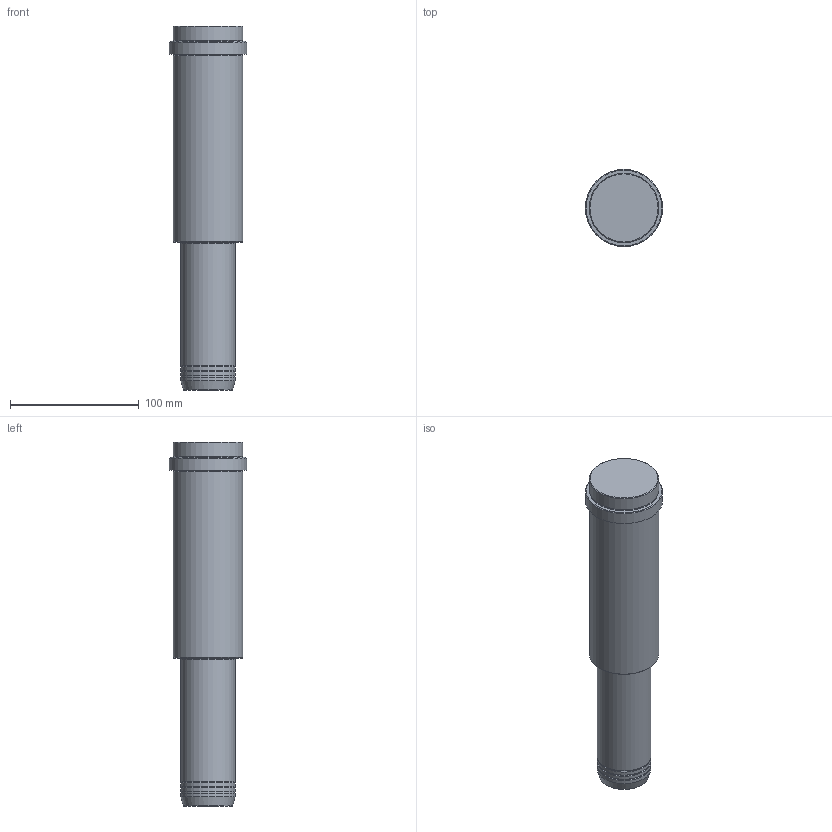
import cadquery as cq
import math

total_height = 283.0
step_height = 115.0
collar_height = 10.0
collar_to_top = 12.0

collar_diameter = 60.0
body_diameter = 54.0
shank_diameter = 42.0

edge_bevel = 0.5
tip_bevel = 0.3

lead_in_height = 7.0
lead_in_angle = 15.0

groove_radius = 0.5
shank_groove_count = 3
first_groove_height = 10.5
groove_pitch = 4.0

collar_top = total_height - collar_to_top
collar_bottom = collar_top - collar_height


def cylinder(diameter, bottom, top):
    """Solid cylinder on the Z axis between two heights."""
    return cq.Workplane("XY").workplane(offset=bottom).circle(diameter / 2).extrude(top - bottom)


def round_groove(diameter, height):
    """Torus-shaped cutter for a half-round groove centred at a height on a cylinder."""
    radius = diameter / 2
    return (
        cq.Workplane("XZ")
        .center(radius, height)
        .circle(groove_radius)
        .revolve(360, (-radius, 0), (-radius, 1))
    )


def make_shank():
    """Shank with a tapered, bevelled tip, a row of grooves and a groove under the step."""
    radius = shank_diameter / 2
    tip_radius = radius - (lead_in_height - tip_bevel) * math.tan(math.radians(lead_in_angle))
    shank = (
        cq.Workplane("XZ")
        .lineTo(tip_radius - tip_bevel, 0)
        .lineTo(tip_radius, tip_bevel)
        .lineTo(radius, lead_in_height)
        .lineTo(radius, step_height)
        .lineTo(0, step_height)
        .close()
        .revolve(360, (0, 0), (0, 1))
    )
    for index in range(shank_groove_count):
        shank = shank.cut(round_groove(shank_diameter, first_groove_height + index * groove_pitch))
    return shank.cut(round_groove(shank_diameter, step_height - groove_radius))


def make_body():
    """Thick upper body with bevelled ends and a groove on each side of the collar."""
    body = cylinder(body_diameter, step_height, total_height).faces("<Z or >Z").chamfer(edge_bevel)
    for height in (collar_top + groove_radius, collar_bottom - groove_radius):
        body = body.cut(round_groove(body_diameter, height))
    return body


def make_collar():
    """Collar near the top end, bevelled on its upper edge."""
    return cylinder(collar_diameter, collar_bottom, collar_top).faces(">Z").chamfer(edge_bevel)


result = make_shank().union(make_body()).union(make_collar())